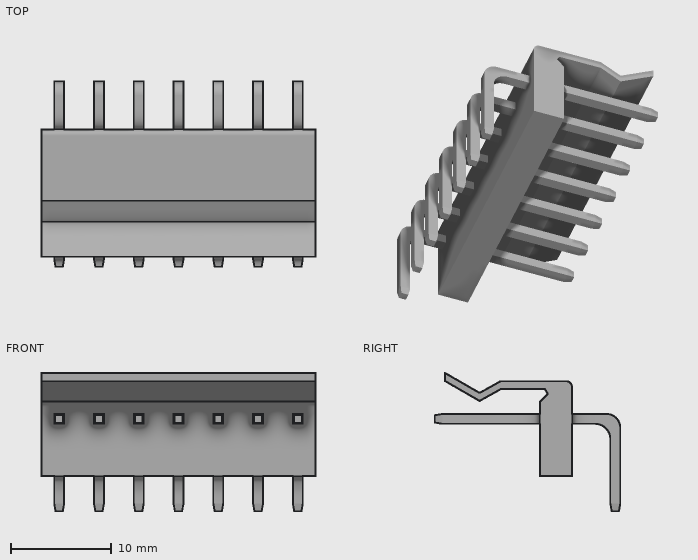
import cadquery as cq

housing_length = 27.32
wall_thickness = 3.2
wall_height = 9.48
back_edge_radius = 0.6

arm_thickness = 0.82
arm_bend_y = -7.1
arm_valley_y = -9.2
arm_tip_y = -12.68
arm_valley_drop = 1.17
arm_tip_rise = 0.82

notch_depth = 0.76
notch_lip_height = 7.43
notch_corner = 0.27

pin_count = 7
pin_pitch = 3.95
pin_width = 1.0
pin_axis_z = 5.7
pin_front_y = -13.7
pin_back_y = 4.8
pin_bottom_z = -3.5
bend_outer_radius = 1.4
bend_inner_radius = 1.5
taper_length = 0.76
taper_inset = 0.15


def make_housing():
    """Wall and locking arm as one profile extruded along X, back face at Y = 0."""
    arm_bottom = wall_height - arm_thickness
    valley_top = wall_height - arm_valley_drop
    tip_top = wall_height + arm_tip_rise
    notch_y = notch_depth - wall_thickness
    profile = (
        cq.Workplane("YZ")
        .moveTo(0, 0)
        .lineTo(0, wall_height)
        .lineTo(arm_bend_y, wall_height)
        .lineTo(arm_valley_y, valley_top)
        .lineTo(arm_tip_y, tip_top)
        .lineTo(arm_tip_y, tip_top - arm_thickness)
        .lineTo(arm_valley_y, valley_top - arm_thickness)
        .lineTo(arm_bend_y, arm_bottom)
        .lineTo(notch_y - notch_corner, arm_bottom)
        .lineTo(notch_y, notch_lip_height + notch_depth)
        .lineTo(-wall_thickness, notch_lip_height)
        .lineTo(-wall_thickness, 0)
        .close()
    )
    housing = profile.extrude(housing_length / 2, both=True)
    back_top_edge = cq.selectors.NearestToPointSelector((0, 0, wall_height))
    return housing.edges(back_top_edge).fillet(back_edge_radius)


def tapered_end(plane):
    """Pyramidal pin end growing from the plane's origin along its normal."""
    end_width = pin_width - 2 * taper_inset
    return (
        cq.Workplane(plane)
        .rect(pin_width, pin_width)
        .workplane(offset=taper_length)
        .rect(end_width, end_width)
        .loft(ruled=True)
    )


def make_pin():
    """Pin at X = 0: mating leg along -Y, rounded elbow, solder leg along -Z."""
    half_width = pin_width / 2
    pin_top_z = pin_axis_z + half_width
    leg_front_y = pin_front_y + taper_length
    leg_bottom_z = pin_bottom_z + taper_length
    solder_axis_y = pin_back_y - half_width

    shank = (
        cq.Workplane("YZ")
        .moveTo(leg_front_y, pin_top_z)
        .lineTo(pin_back_y, pin_top_z)
        .lineTo(pin_back_y, leg_bottom_z)
        .lineTo(pin_back_y - pin_width, leg_bottom_z)
        .lineTo(pin_back_y - pin_width, pin_top_z - pin_width)
        .lineTo(leg_front_y, pin_top_z - pin_width)
        .close()
        .extrude(half_width, both=True)
    )
    outer_corner = (0, pin_back_y, pin_top_z)
    inner_corner = (0, pin_back_y - pin_width, pin_top_z - pin_width)
    shank = shank.edges(cq.selectors.NearestToPointSelector(outer_corner)).fillet(bend_outer_radius)
    shank = shank.edges(cq.selectors.NearestToPointSelector(inner_corner)).fillet(bend_inner_radius)

    mating_plane = cq.Plane(origin=(0, leg_front_y, pin_axis_z), xDir=(1, 0, 0), normal=(0, -1, 0))
    solder_plane = cq.Plane(origin=(0, solder_axis_y, leg_bottom_z), xDir=(1, 0, 0), normal=(0, 0, -1))
    return shank.union(tapered_end(mating_plane)).union(tapered_end(solder_plane))


result = make_housing()
pin = make_pin()
for index in range(pin_count):
    pin_x = (index - (pin_count - 1) / 2) * pin_pitch
    result = result.union(pin.translate((pin_x, 0, 0)))